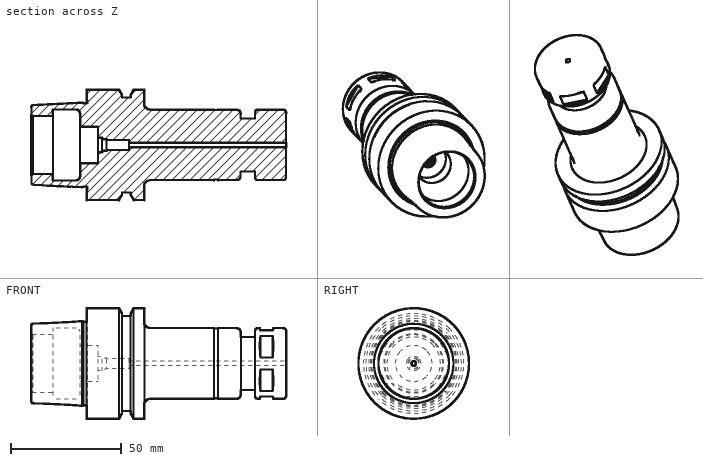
import cadquery as cq
import math

TOTAL_LENGTH = 115.0

TAPER_SLOPE = 0.05
TAPER_GAUGE_RADIUS = 19.0
TAPER_GAUGE_X = 20.0
TAPER_END_X = 22.9
TAPER_TIP_FILLET = 1.0

RELIEF_RADIUS = 18.9
RELIEF_START_X = 23.6
UNDERCUT_START_X = 24.7
UNDERCUT_RADIUS = 0.6
UNDERCUT_RIM_RADIUS = 20.3

FLANGE_FACE_X = 25.0
FLANGE_END_X = 51.0
FLANGE_RADIUS = 25.0
GROOVE_CENTER_X = 42.9
GROOVE_FLOOR_WIDTH = 3.8
GROOVE_FLOOR_RADIUS = 21.5
GROOVE_FLANK_WIDTH = 1.4
GROOVE_FLANK_ANGLE = 60.0

BODY_RADIUS = 16.0
BODY_END_X = 94.5
BODY_END_FILLET = 2.0
ROOT_FILLET = 3.0
ROOT_FILLET_END_X = 53.8
BAND_START_X = 82.5
BAND_END_X = 84.2
BAND_DEPTH = 0.2

NUT_NECK_RADIUS = 12.0
NUT_START_X = 100.8
NUT_RADIUS = 16.0
NUT_FILLET = 1.5
FLAT_COUNT = 6
FLAT_DISTANCE = 15.0
FLAT_CENTER_X = 106.1
FLAT_WIDTH = 5.5
FLAT_FLARE = 0.35

BORE_DIAMETER = 26.0
BORE_MOUTH_DIAMETER = 26.9
BORE_MOUTH_LENGTH = 0.8
CLAMP_RECESS_DIAMETER = 32.0
CLAMP_RECESS_START_X = 9.8
CLAMP_RECESS_END_X = 22.0
CLAMP_RECESS_FILLET = 2.0

STEPPED_HOLES = [(16.4, 8.0), (6.5, 2.0), (5.0, 2.0), (4.5, 10.0)]
COOLANT_DIAMETER = 2.0


def taper_radius(x):
    return TAPER_GAUGE_RADIUS + TAPER_SLOPE * (x - TAPER_GAUGE_X)


def shank_with_flange():
    shank = (
        cq.Workplane("XY")
        .lineTo(0, taper_radius(0))
        .lineTo(TAPER_END_X, taper_radius(TAPER_END_X))
        .lineTo(RELIEF_START_X, RELIEF_RADIUS)
        .lineTo(UNDERCUT_START_X, RELIEF_RADIUS)
        .tangentArcPoint((UNDERCUT_RADIUS, UNDERCUT_RADIUS))
        .lineTo(FLANGE_FACE_X, UNDERCUT_RIM_RADIUS)
        .lineTo(FLANGE_FACE_X, FLANGE_RADIUS)
        .lineTo(FLANGE_END_X, FLANGE_RADIUS)
        .lineTo(FLANGE_END_X, 0)
        .close()
        .revolve(360, (0, 0, 0), (1, 0, 0))
    )
    return shank.faces("<X").edges().fillet(TAPER_TIP_FILLET)


def gripper_groove():
    half_floor = GROOVE_FLOOR_WIDTH / 2
    half_mouth = half_floor + GROOVE_FLANK_WIDTH
    flank_height = GROOVE_FLANK_WIDTH * math.tan(math.radians(GROOVE_FLANK_ANGLE))
    flank_radius = FLANGE_RADIUS - flank_height
    return (
        cq.Workplane("XY")
        .moveTo(GROOVE_CENTER_X - half_mouth, FLANGE_RADIUS)
        .lineTo(GROOVE_CENTER_X - half_floor, flank_radius)
        .lineTo(GROOVE_CENTER_X - half_floor, GROOVE_FLOOR_RADIUS)
        .lineTo(GROOVE_CENTER_X + half_floor, GROOVE_FLOOR_RADIUS)
        .lineTo(GROOVE_CENTER_X + half_floor, flank_radius)
        .lineTo(GROOVE_CENTER_X + half_mouth, FLANGE_RADIUS)
        .close()
        .revolve(360, (0, 0, 0), (1, 0, 0))
    )


def cylinder(start_x, end_x, radius):
    return cq.Workplane("YZ", origin=(start_x, 0, 0)).circle(radius).extrude(end_x - start_x)


def body():
    barrel = cylinder(FLANGE_END_X, BODY_END_X, BODY_RADIUS).faces(">X").edges().fillet(BODY_END_FILLET)
    band = cylinder(BAND_START_X, BAND_END_X, BODY_RADIUS).cut(
        cylinder(BAND_START_X, BAND_END_X, BODY_RADIUS - BAND_DEPTH)
    )
    return barrel.cut(band).union(root_fillet())


def root_fillet():
    """Concave ring, tangent to the body, that runs out against the flange."""
    arc_center_radius = BODY_RADIUS + ROOT_FILLET

    def arc_height(x):
        return arc_center_radius - math.sqrt(ROOT_FILLET**2 - (ROOT_FILLET_END_X - x) ** 2)

    middle_x = (FLANGE_END_X + ROOT_FILLET_END_X) / 2
    return (
        cq.Workplane("XY")
        .moveTo(FLANGE_END_X, 0)
        .lineTo(FLANGE_END_X, arc_height(FLANGE_END_X))
        .threePointArc((middle_x, arc_height(middle_x)), (ROOT_FILLET_END_X, BODY_RADIUS))
        .lineTo(ROOT_FILLET_END_X, 0)
        .close()
        .revolve(360, (0, 0, 0), (1, 0, 0))
    )


def nut():
    blank = cylinder(NUT_START_X, TOTAL_LENGTH, NUT_RADIUS)
    blank = blank.faces("<X or >X").edges().fillet(NUT_FILLET)
    height = NUT_RADIUS - FLAT_DISTANCE
    half_floor = FLAT_WIDTH / 2
    half_top = half_floor + FLAT_FLARE * height
    cutter = (
        cq.Workplane("XZ")
        .moveTo(FLAT_CENTER_X - half_floor, FLAT_DISTANCE)
        .lineTo(FLAT_CENTER_X + half_floor, FLAT_DISTANCE)
        .lineTo(FLAT_CENTER_X + half_top, NUT_RADIUS)
        .lineTo(FLAT_CENTER_X - half_top, NUT_RADIUS)
        .close()
        .extrude(NUT_RADIUS, both=True)
    )
    for index in range(FLAT_COUNT):
        blank = blank.cut(cutter.rotate((0, 0, 0), (1, 0, 0), index * 360 / FLAT_COUNT))
    return blank


def clamping_bore():
    mouth = (
        cq.Workplane("XY")
        .lineTo(0, BORE_MOUTH_DIAMETER / 2)
        .lineTo(BORE_MOUTH_LENGTH, BORE_DIAMETER / 2)
        .lineTo(BORE_MOUTH_LENGTH, 0)
        .close()
        .revolve(360, (0, 0, 0), (1, 0, 0))
    )
    entry = cylinder(0, CLAMP_RECESS_START_X, BORE_DIAMETER / 2)
    recess = cylinder(CLAMP_RECESS_START_X, CLAMP_RECESS_END_X, CLAMP_RECESS_DIAMETER / 2)
    recess = recess.faces(">X").edges().fillet(CLAMP_RECESS_FILLET)
    return entry.union(mouth).union(recess)


def stepped_holes():
    holes = cylinder(0, TOTAL_LENGTH, COOLANT_DIAMETER / 2)
    start_x = CLAMP_RECESS_END_X
    for diameter, length in STEPPED_HOLES:
        holes = holes.union(cylinder(start_x, start_x + length, diameter / 2))
        start_x += length
    return holes


result = (
    shank_with_flange()
    .cut(gripper_groove())
    .union(body())
    .union(cylinder(BODY_END_X, NUT_START_X, NUT_NECK_RADIUS))
    .union(nut())
    .cut(clamping_bore())
    .cut(stepped_holes())
)